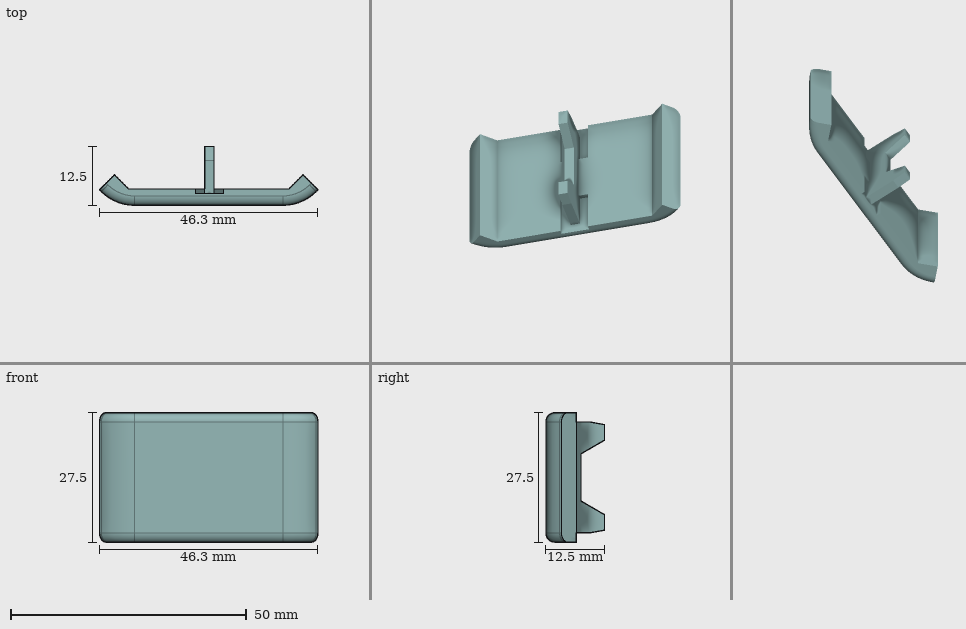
import cadquery as cq
import math

plate_height = 27.5
plate_thickness = 3.5
overall_width = 46.34
bend_angle = math.radians(45)
bend_radius = 10.0
wing_straight = 0.55
wing_end_width = 4.5
front_edge_fillet = 2.0

rib_thickness = 2.0
rib_center_x = 0.15
rib_edge_inset = 2.0
rib_tip_y = 12.5
rib_bridge_y = 7.5
hook_lead_y = 9.5
hook_tip_outer_z = 11.2
hook_tip_inner_z = 7.9
hook_root_inner_z = 5.0

notch_width = 6.0
notch_depth = 1.0

half_height = plate_height / 2
half_width = overall_width / 2
notch_floor_y = plate_thickness - notch_depth


def make_plate():
    """Bent plate with rounded front edges along its top and bottom."""
    sin_bend = math.sin(bend_angle)
    cos_bend = math.cos(bend_angle)

    bend_end_x = half_width - wing_straight * cos_bend
    bend_end_y = bend_radius * (1 - cos_bend)
    bend_start_x = bend_end_x - bend_radius * sin_bend
    bend_mid_x = bend_start_x + bend_radius * math.sin(bend_angle / 2)
    bend_mid_y = bend_radius * (1 - math.cos(bend_angle / 2))

    tip_y = bend_end_y + wing_straight * sin_bend
    wing_back_x = half_width - wing_end_width * sin_bend
    wing_back_y = tip_y + wing_end_width * cos_bend
    inner_corner_x = wing_back_x - (wing_back_y - plate_thickness) / math.tan(bend_angle)

    plate = (
        cq.Workplane("XY")
        .workplane(offset=-half_height)
        .moveTo(-bend_start_x, 0)
        .lineTo(bend_start_x, 0)
        .threePointArc((bend_mid_x, bend_mid_y), (bend_end_x, bend_end_y))
        .lineTo(half_width, tip_y)
        .lineTo(wing_back_x, wing_back_y)
        .lineTo(inner_corner_x, plate_thickness)
        .lineTo(-inner_corner_x, plate_thickness)
        .lineTo(-wing_back_x, wing_back_y)
        .lineTo(-half_width, tip_y)
        .lineTo(-bend_end_x, bend_end_y)
        .threePointArc((-bend_mid_x, bend_mid_y), (-bend_start_x, 0))
        .close()
        .extrude(plate_height)
    )
    return plate.faces("<Y").edges("|X").fillet(front_edge_fillet)


def cut_notches(plate):
    """Cut a shallow notch into the back at the top and bottom edges."""
    notch_length = half_height - hook_root_inner_z
    notch_center_z = (half_height + hook_root_inner_z) / 2
    for side in (1, -1):
        notch = (
            cq.Workplane("XY")
            .box(notch_width, notch_depth, notch_length)
            .translate((rib_center_x, plate_thickness - notch_depth / 2, side * notch_center_z))
        )
        plate = plate.cut(notch)
    return plate


def make_rib():
    """Upright rib with a tapered hook at each end, joined by a lower web."""
    rib_end_z = half_height - rib_edge_inset
    upper_hook = [
        (rib_bridge_y, hook_root_inner_z),
        (rib_tip_y, hook_tip_inner_z),
        (rib_tip_y, hook_tip_outer_z),
        (hook_lead_y, rib_end_z),
        (notch_floor_y, rib_end_z),
    ]
    lower_hook = [(y, -z) for y, z in reversed(upper_hook)]
    return (
        cq.Workplane("YZ")
        .polyline(upper_hook + lower_hook)
        .close()
        .extrude(rib_thickness / 2, both=True)
        .translate((rib_center_x, 0, 0))
    )


result = cut_notches(make_plate()).union(make_rib())